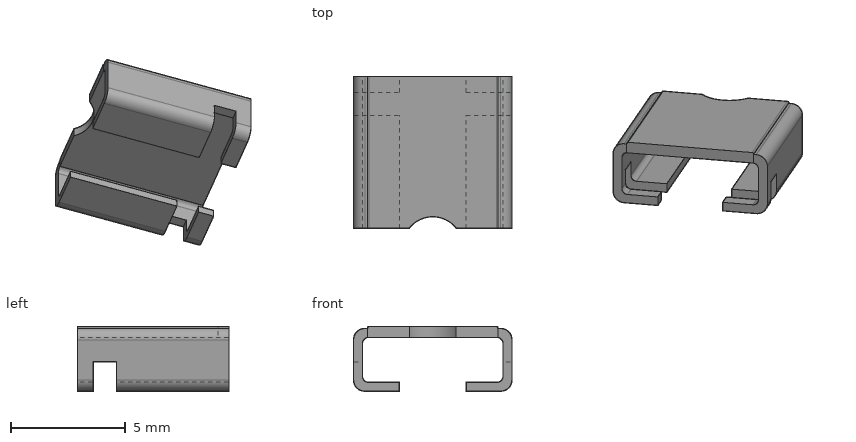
import cadquery as cq

width = 6.9
length = 6.6
height = 2.82

sheet = 0.4
outer_radius = 0.5
inner_radius = 0.25
rail_height = 2.74
top_lip = 0.615
bottom_flange = 2.0

slot_width = 1.0
slot_height = 1.28
slot_back_margin = 0.7

plate_width = width - 2 * top_lip
plate_thickness = 0.49
plate_bottom = height - plate_thickness
plate_edge_radius = 0.06

notch_radius = 1.3
notch_depth = 0.5


def make_plate():
    """Flat top plate with rounded upper side edges and an arc-shaped front notch."""
    plate = (
        cq.Workplane("XY", origin=(0, 0, plate_bottom))
        .rect(plate_width, length)
        .extrude(plate_thickness)
        .edges("|Y and >Z")
        .fillet(plate_edge_radius)
    )
    notch_center_y = -length / 2 + notch_depth - notch_radius
    notch = (
        cq.Workplane("XY", origin=(0, notch_center_y, plate_bottom))
        .circle(notch_radius)
        .extrude(plate_thickness)
    )
    return plate.cut(notch)


def rail_block(side, inset, reach, bottom, top, radius):
    """Full-length block starting inset from the outer side, with rounded outward edges."""
    outward = "<X" if side < 0 else ">X"
    return (
        cq.Workplane("XY", origin=(side * (width / 2 - (inset + reach) / 2), 0, bottom))
        .box(reach - inset, length, top - bottom, centered=(True, True, False))
        .edges(f"|Y and {outward}")
        .fillet(radius)
    )


def make_rail(side):
    """C-shaped rail on the -X side (side = -1) or the +X side (side = 1)."""
    rail = rail_block(side, 0, bottom_flange, 0, rail_height, outer_radius)
    channel = rail_block(side, sheet, bottom_flange, sheet, rail_height - sheet, inner_radius)

    plate_space = cq.Workplane("XY", origin=(0, 0, plate_bottom)).box(
        plate_width, length, plate_thickness, centered=(True, True, False)
    )
    slot_center_y = length / 2 - slot_back_margin - slot_width / 2
    slot = cq.Workplane("XY", origin=(0, slot_center_y, 0)).box(
        width, slot_width, slot_height, centered=(True, True, False)
    )
    return rail.cut(channel).cut(plate_space).cut(slot)


plate = make_plate()
rails = [make_rail(side) for side in (-1, 1)]

bodies = [plate, *rails]
result = cq.Compound.makeCompound([body.solids().val() for body in bodies])